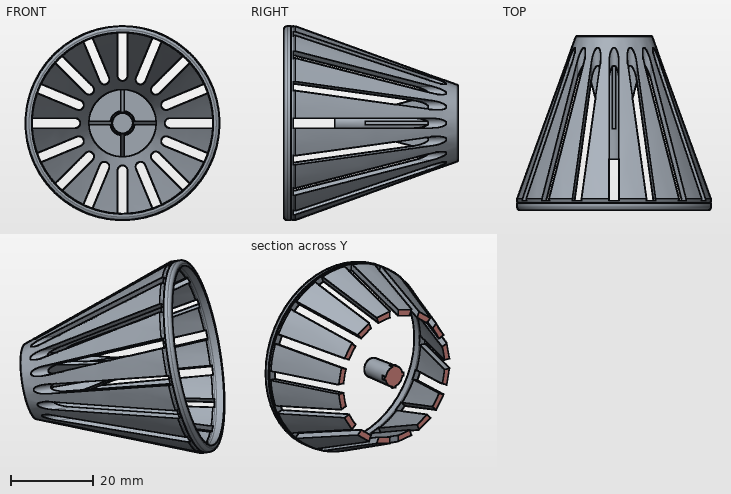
import cadquery as cq
outer_radius = 23.65
height = 42.48
front_y = -height / 2

rim_height = 2.8
rim_fillet = 0.85
bore_radius = 22.15
step_level = 1.9
seat_level = 2.35
groove_front = 1.75
groove_depth = 0.15

end_radius = 9.25
end_edge_fillet = 0.45
inner_rim_radius = 22.0
floor_radius = 8.2
floor_thickness = 1.35
floor_level = height - floor_thickness

slot_count = 16
slot_width = 2.35
slot_inner_radius = 10.3

post_tip_radius = 2.45
post_base_radius = 3.0
post_tip_level = 12.4
rib_count = 4
rib_width = 0.9
rib_tip_level = 19.85

overlap = 0.45


def post_radius(level):
    """Radius of the tapered post at a given level."""
    taper = (post_base_radius - post_tip_radius) / (floor_level - post_tip_level)
    return post_tip_radius + taper * (level - post_tip_level)


def profile(points):
    """Closed outline in the XY plane from (radius, level) points."""
    return cq.Workplane("XY", origin=(0, front_y, 0)).polyline(points).close()


def revolve_profile(points):
    """Solid of revolution about the Y axis from (radius, level) points."""
    return profile(points).revolve(360, (0, 0, 0), (0, 1, 0))


def around_axis(shape, count):
    """Evenly spaced copies of a shape around the Y axis."""
    return [shape.rotate((0, 0, 0), (0, 1, 0), i * 360 / count) for i in range(count)]


def make_shell():
    """Hollow cone with a grooved rim, closed at the narrow end."""
    outside = revolve_profile([
        (0, 0),
        (outer_radius, 0),
        (outer_radius, groove_front),
        (outer_radius - groove_depth, step_level),
        (outer_radius, seat_level),
        (outer_radius, rim_height),
        (end_radius, height),
        (0, height),
    ])
    outside = outside.faces("<Y").edges().fillet(rim_fillet)
    outside = outside.faces(">Y").edges().fillet(end_edge_fillet)
    inside = revolve_profile([
        (0, 0),
        (bore_radius, 0),
        (bore_radius, step_level),
        (inner_rim_radius, seat_level),
        (inner_rim_radius, rim_height),
        (floor_radius, floor_level),
        (0, floor_level),
    ])
    return outside.cut(inside)


def make_slot():
    """Round-ended cutter parallel to the axis, running outwards along +X."""
    length = 2 * outer_radius
    start_plane = cq.Plane(origin=(0, front_y + seat_level, 0), xDir=(1, 0, 0), normal=(0, 1, 0))
    outline = cq.Workplane(start_plane).center(slot_inner_radius + length / 2, 0).slot2D(length, slot_width)
    return outline.extrude(height)


def make_post():
    """Post that widens from its free tip to the floor."""
    return revolve_profile([
        (0, post_tip_level),
        (post_tip_radius, post_tip_level),
        (post_base_radius, floor_level),
        (post_base_radius, floor_level + overlap),
        (0, floor_level + overlap),
    ])


def make_rib():
    """Triangular rib sloping from the post to the edge of the floor."""
    outline = profile([
        (0, rib_tip_level),
        (post_radius(rib_tip_level), rib_tip_level),
        (floor_radius, floor_level),
        (floor_radius - overlap, floor_level + overlap),
        (0, floor_level + overlap),
    ])
    return outline.extrude(rib_width / 2, both=True)


body = make_shell()
for slot in around_axis(make_slot(), slot_count):
    body = body.cut(slot)

body = body.union(make_post())
for rib in around_axis(make_rib(), rib_count):
    body = body.union(rib)

result = body